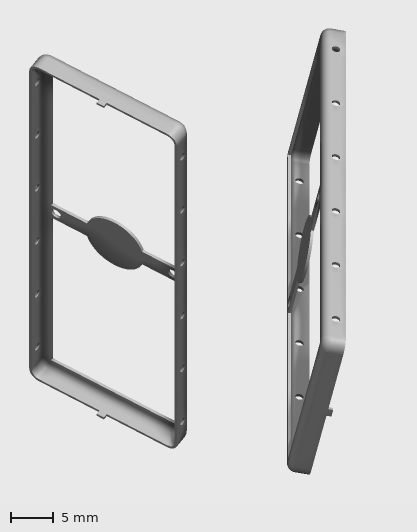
import cadquery as cq

width = 20.6
height = 59.3
total_depth = 3.4
tab_length = 0.6
tray_depth = total_depth - tab_length
wall = 0.35
corner_radius = 1.4
back_edge_radius = 1.0
rim_width = 1.5

bar_height = 2.4
disc_diameter = 8.0
bar_hole_diameter = 1.3
bar_hole_offset = 8.1

side_hole_diameter = 1.0
side_hole_count = 6
side_hole_pitch = 10.0
side_hole_from_front = 1.2

tab_width = 1.0

front_y = -tray_depth / 2
back_y = tray_depth / 2


def rounded_block(block_width, block_height, start_y, end_y, edge_radius, back_radius):
    """Block with rounded corners and a rounded edge around its +Y face."""
    block = (
        cq.Workplane("XZ", origin=(0, start_y, 0))
        .rect(block_width, block_height)
        .extrude(start_y - end_y)
    )
    return block.edges("|Y").fillet(edge_radius).faces(">Y").edges().fillet(back_radius)


def back_panel_plane():
    """Plane of the inner face of the back panel; extrusions run toward -Y."""
    return cq.Workplane("XZ", origin=(0, back_y, 0))


def make_frame():
    """Thin-walled tray with a large rectangular window in its back panel."""
    outer = rounded_block(width, height, front_y, back_y, corner_radius, back_edge_radius)
    cavity = rounded_block(
        width - 2 * wall,
        height - 2 * wall,
        front_y,
        back_y - wall,
        corner_radius - wall,
        back_edge_radius - wall,
    )
    window = back_panel_plane().rect(width - 2 * rim_width, height - 2 * rim_width).extrude(tray_depth)
    return outer.cut(cavity).cut(window)


def make_crossbar():
    """Bar and disc spanning the window, with a hole near each end."""
    bar = back_panel_plane().rect(width - 2 * rim_width + wall, bar_height).extrude(wall)
    disc = back_panel_plane().circle(disc_diameter / 2).extrude(wall)
    return bar.union(disc)


def make_bar_holes():
    centers = [(-bar_hole_offset, 0), (bar_hole_offset, 0)]
    return back_panel_plane().pushPoints(centers).circle(bar_hole_diameter / 2).extrude(wall)


def make_side_holes():
    """Row of pins, each long enough to pierce both long walls."""
    return (
        cq.Workplane("YZ", origin=(0, front_y + side_hole_from_front, 0))
        .rarray(0.6, side_hole_pitch, 1, side_hole_count)
        .circle(side_hole_diameter / 2)
        .extrude(width, both=True)
    )


def make_tab(side):
    """Tab continuing the upper (side = 1) or lower (side = -1) end wall."""
    center = (0, front_y, side * (height - wall) / 2)
    return cq.Workplane("XY", origin=center).box(tab_width, 2 * tab_length, wall)


result = make_frame().union(make_crossbar()).cut(make_bar_holes()).cut(make_side_holes())
for end in (-1, 1):
    result = result.union(make_tab(end))